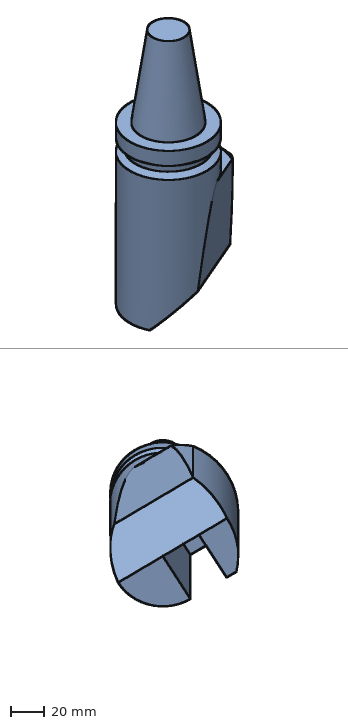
import cadquery as cq
import math

total_height = 195.4
body_radius = 31.5
flange_top = 129.4
flange_bottom = 118.6
groove_top = 115.5
groove_bottom = 111.4
shoulder_height = 108.6
groove_radius = 53.3 / 2

shank_base_radius = 44.4 / 2
shank_tip_radius = 25.4 / 2
shank_collar_height = 0.5

block_radius = 45.1
block_height = 95.0
block_chamfer = 5.0
corner_start_x = 25.5
corner_middle = (29.1, 31.7)
corner_end_y = 25.2

pocket_width = 25.4
pocket_floor_x = 0.0

relief_corner = 25.5
relief_top = block_height


def make_revolved_body():
    """Holder body, V-groove flange and taper shank."""
    collar_top = flange_top + shank_collar_height
    profile = [
        (0, 0),
        (body_radius, 0),
        (body_radius, shoulder_height),
        (groove_radius, groove_bottom),
        (groove_radius, groove_top),
        (body_radius, flange_bottom),
        (body_radius, flange_top),
        (shank_base_radius, flange_top),
        (shank_base_radius, collar_top),
        (shank_tip_radius, total_height),
        (0, total_height),
    ]
    return cq.Workplane("XZ").polyline(profile).close().revolve(360, (0, 0), (0, 1))


def make_block():
    """Block on the +Y half, with a chamfered arc and a rounded +X corner."""
    arc_end_y = math.sqrt(block_radius**2 - body_radius**2)
    corner_start_y = math.sqrt(block_radius**2 - corner_start_x**2)
    prism = (
        cq.Workplane("XY")
        .moveTo(-body_radius, 0)
        .lineTo(-body_radius, arc_end_y)
        .threePointArc((0, block_radius), (corner_start_x, corner_start_y))
        .threePointArc(corner_middle, (body_radius, corner_end_y))
        .lineTo(body_radius, 0)
        .close()
        .extrude(block_height)
    )
    chamfered_disc = (
        cq.Workplane("XY")
        .circle(block_radius)
        .extrude(block_height)
        .faces(">Z")
        .chamfer(block_chamfer)
    )
    return prism.intersect(chamfered_disc)


def make_pocket():
    """Pocket volume between the body axis and the outer wall of the block."""
    length = pocket_floor_x + body_radius
    height = block_height - block_chamfer
    return (
        cq.Workplane("XY")
        .box(length, pocket_width, height, centered=False)
        .translate((-body_radius, 0, 0))
    )


def make_relief():
    """Volume removed from the +X side along the whole width of the part."""
    profile = [
        (0, 0),
        (relief_corner, relief_corner),
        (body_radius, relief_top),
        (block_radius, relief_top),
        (block_radius, 0),
    ]
    return cq.Workplane("XZ").polyline(profile).close().extrude(block_radius, both=True)


result = make_revolved_body().union(make_block()).cut(make_pocket()).cut(make_relief())